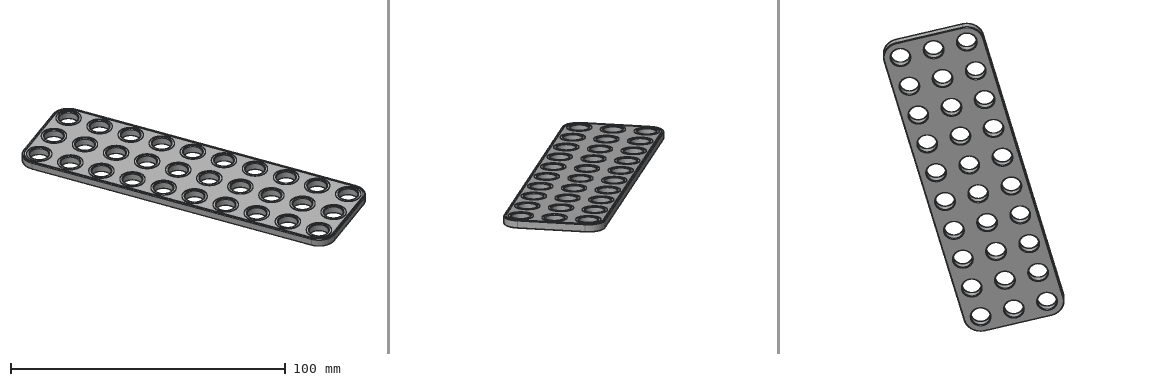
import cadquery as cq

pitch = 12.5
columns = 10
rows = 3

length = columns * pitch
width = rows * pitch
thickness = 3.1
corner_radius = pitch / 2

edge_chamfer = 0.3
hole_diameter = 7.0

recess_depth = 0.2
rim_width = 0.8
ring_diameter = 9.2


def rounded_block(block_length, block_width, height, radius):
    """Block standing on Z = 0 with rounded vertical edges."""
    block = cq.Workplane("XY").rect(block_length, block_width).extrude(height)
    return block.edges("|Z").fillet(radius)


def at_holes(workplane):
    """Put a point at every hole centre."""
    return workplane.rarray(pitch, pitch, columns, rows)


def make_plate():
    """Round-cornered plate with chamfered through holes and outline."""
    plate = rounded_block(length, width, thickness, corner_radius)
    plate = at_holes(plate.faces(">Z").workplane(origin=(0, 0, 0))).hole(hole_diameter)
    return plate.faces("<Z or >Z").edges().chamfer(edge_chamfer)


def make_recess():
    """Shallow layer that is removed from the top face, standing on Z = 0."""
    layer = rounded_block(
        length - 2 * rim_width,
        width - 2 * rim_width,
        recess_depth,
        corner_radius - rim_width,
    )
    rings = at_holes(cq.Workplane("XY")).circle(ring_diameter / 2).extrude(recess_depth)
    return layer.cut(rings)


recess = make_recess().translate((0, 0, thickness - recess_depth))
result = make_plate().cut(recess)